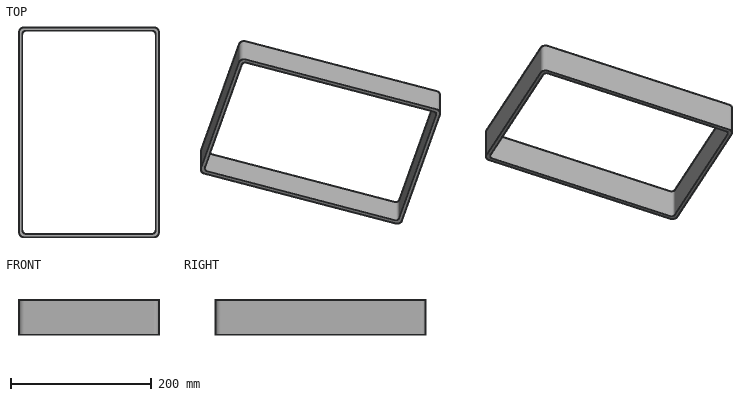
import cadquery as cq

length = 300.0
width = 200.0
height = 50.0
wall = 5.0
outer_radius = 7.5
inner_radius = 5.0


def rounded_block(size_x, size_y, corner_radius):
    """Block of the frame's height with rounded vertical edges."""
    block = cq.Workplane("XY").box(size_x, size_y, height)
    return block.edges("|Z").fillet(corner_radius)


outer_block = rounded_block(width, length, outer_radius)
opening = rounded_block(width - 2 * wall, length - 2 * wall, inner_radius)
result = outer_block.cut(opening)